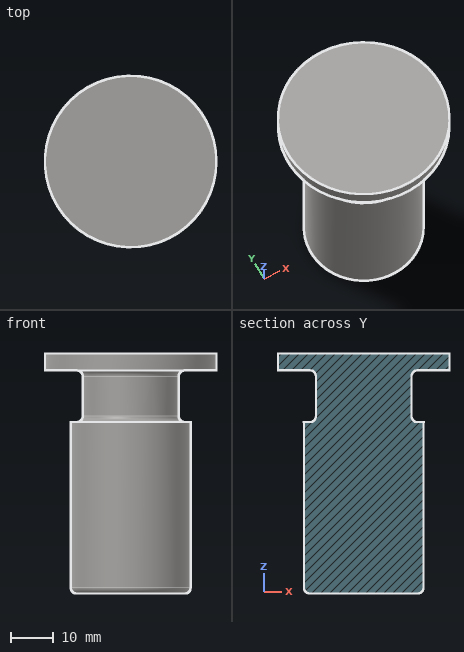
import cadquery as cq

shank_diameter = 28.0
shank_length = 40.0
neck_diameter = 22.4
neck_length = 12.0
head_diameter = 40.0
head_thickness = 4.0
fillet_radius = 1.4

shank_radius = shank_diameter / 2
neck_radius = neck_diameter / 2
head_radius = head_diameter / 2
shank_top = shank_length
head_bottom = shank_top + neck_length
head_top = head_bottom + head_thickness


def make_half_profile():
    """Outline of one half of the axial section, drawn from the lower end up to the head."""
    neck_foot = neck_radius + fillet_radius
    return (
        cq.Workplane("XZ")
        .lineTo(shank_radius - fillet_radius, 0)
        .radiusArc((shank_radius, fillet_radius), -fillet_radius)
        .lineTo(shank_radius, shank_top)
        .lineTo(neck_foot, shank_top)
        .radiusArc((neck_radius, shank_top + fillet_radius), fillet_radius)
        .lineTo(neck_radius, head_bottom - fillet_radius)
        .radiusArc((neck_foot, head_bottom), fillet_radius)
        .lineTo(head_radius, head_bottom)
        .lineTo(head_radius, head_top)
        .lineTo(0, head_top)
        .close()
    )


result = make_half_profile().revolve(360, (0, 0), (0, 1))